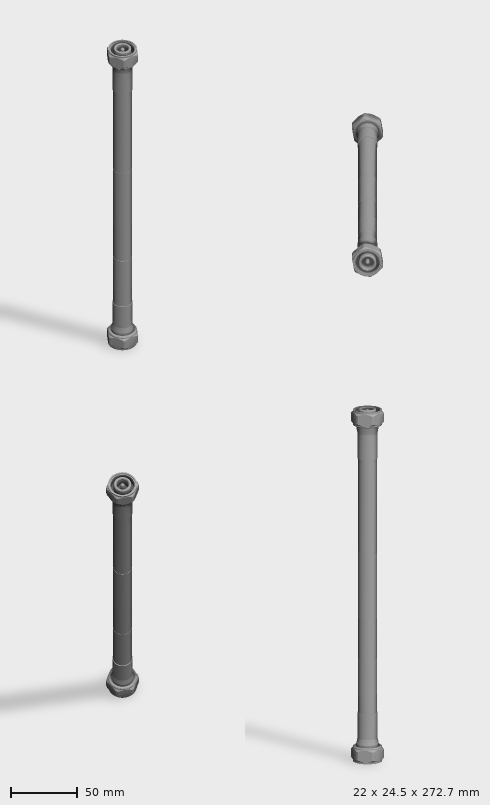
import cadquery as cq
import math

LENGTH = 272.7
HALF_LENGTH = LENGTH / 2
ENDS = ("top", "bottom")

CABLE_DIAMETER = 14.0
CABLE_RADIUS = CABLE_DIAMETER / 2
BAND_THICKNESS = 0.22
CENTRE_BAND_HALF = 25.0
LOWER_BAND_TOP = -56.2
LOWER_BAND_BOTTOM = -84.3

SLEEVE_THICKNESS = 0.5
SLEEVE_RADIUS = CABLE_RADIUS + SLEEVE_THICKNESS
SLEEVE_START = 98.2
FLARE_START = 117.8
FLARE_RADIUS = 8.5
CABLE_END = 122.2

FERRULE_RADIUS = 7.0
FERRULE_START = 107.5
NECK_RADIUS = 8.2

SHARP_CORNERS = 25.4
HEX_FLATS = SHARP_CORNERS * math.cos(math.pi / 6)
BEVELLED_CORNERS = 24.5
HEX_TURN = 30
HEX_FRONT_INSET = 1.4
HEX_BACK_INSET = 1.4
CONTACT_PROTRUSION = 0.5
HEAD_FRONT = HALF_LENGTH - CONTACT_PROTRUSION
HEAD_BACK = 123.8
COLLAR_INSET = 0.14
COLLAR_RADIUS = HEX_FLATS / 2 - COLLAR_INSET
CORNER_CHAMFER = 1.4
BACK_CHAMFER = 0.5
BACK_RECESS_RADIUS = 9.0
BACK_RECESS_DEPTH = 0.8

SOCKET_RADIUS = 9.0
SOCKET_FLOOR = 128.2
MOUTH_RADIUS = 9.8
MOUTH_DEPTH = 0.8
CONTACT_RADIUS = 6.5
CONTACT_BORE_RADIUS = 4.5
CONTACT_CHAMFER = 0.5
PIN_RADIUS = 1.5
PIN_CHAMFER = 0.8


def revolved(profile):
    """Turn an outline of (radius, height) points about the Z axis."""
    return cq.Workplane("XZ").polyline(profile).close().revolve(360, (0, 0, 0), (0, 1, 0))


def cylinder(radius, bottom, top):
    """Solid cylinder about Z between two heights."""
    return cq.Workplane("XY").workplane(offset=bottom).circle(radius).extrude(top - bottom)


def at_end(body, end):
    """Keep a top-end body in place, or mirror it to the bottom end."""
    return body if end == "top" else body.mirror("XY")


def make_sleeve():
    """Flared sleeve that covers the top end of the cable."""
    return revolved([
        (0, SLEEVE_START),
        (SLEEVE_RADIUS, SLEEVE_START),
        (SLEEVE_RADIUS, FLARE_START),
        (FLARE_RADIUS, CABLE_END),
        (0, CABLE_END),
    ])


def make_cable():
    """Jacket with two bands, a sleeve at each end and the holes for the ferrules."""
    cable = cylinder(CABLE_RADIUS, -SLEEVE_START, SLEEVE_START)
    band_radius = CABLE_RADIUS + BAND_THICKNESS
    cable = cable.union(cylinder(band_radius, -CENTRE_BAND_HALF, CENTRE_BAND_HALF))
    cable = cable.union(cylinder(band_radius, LOWER_BAND_BOTTOM, LOWER_BAND_TOP))
    ferrule_hole = cylinder(FERRULE_RADIUS, FERRULE_START, CABLE_END)
    for end in ENDS:
        cable = cable.union(at_end(make_sleeve(), end))
        cable = cable.cut(at_end(ferrule_hole, end))
    return cable


def make_hex_head():
    """Hexagon with bevelled corners between two round collars."""
    corner_radius = BEVELLED_CORNERS / 2
    hex_front = HEAD_FRONT - HEX_FRONT_INSET
    hex_back = HEAD_BACK + HEX_BACK_INSET
    turned = revolved([
        (0, HEAD_BACK),
        (COLLAR_RADIUS - BACK_CHAMFER, HEAD_BACK),
        (COLLAR_RADIUS, HEAD_BACK + BACK_CHAMFER),
        (COLLAR_RADIUS, hex_back),
        (corner_radius, hex_back + CORNER_CHAMFER),
        (corner_radius, hex_front - CORNER_CHAMFER),
        (COLLAR_RADIUS, hex_front),
        (COLLAR_RADIUS, HEAD_FRONT),
        (0, HEAD_FRONT),
    ])
    hexagon = (
        cq.Workplane("XY").workplane(offset=HEAD_BACK)
        .polygon(6, SHARP_CORNERS)
        .extrude(HEAD_FRONT - HEAD_BACK)
        .rotate((0, 0, 0), (0, 0, 1), HEX_TURN)
    )
    return turned.intersect(hexagon)


def make_contact_ring():
    """Ring standing on the socket floor, chamfered inside and outside at its tip."""
    return revolved([
        (CONTACT_BORE_RADIUS, SOCKET_FLOOR),
        (CONTACT_RADIUS, SOCKET_FLOOR),
        (CONTACT_RADIUS, HALF_LENGTH - CONTACT_CHAMFER),
        (CONTACT_RADIUS - CONTACT_CHAMFER, HALF_LENGTH),
        (CONTACT_BORE_RADIUS + CONTACT_CHAMFER, HALF_LENGTH),
        (CONTACT_BORE_RADIUS, HALF_LENGTH - CONTACT_CHAMFER),
    ])


def make_connector():
    """Connector of the top end: ferrule, neck, hexagonal head, contact ring and pin."""
    back_recess = cylinder(BACK_RECESS_RADIUS, HEAD_BACK, HEAD_BACK + BACK_RECESS_DEPTH)
    socket = cylinder(SOCKET_RADIUS, SOCKET_FLOOR, HEAD_FRONT)
    mouth = cylinder(MOUTH_RADIUS, HEAD_FRONT - MOUTH_DEPTH, HEAD_FRONT)
    ferrule = cylinder(FERRULE_RADIUS, FERRULE_START, CABLE_END)
    neck = cylinder(NECK_RADIUS, CABLE_END, SOCKET_FLOOR)
    pin = cylinder(PIN_RADIUS, SOCKET_FLOOR, HEAD_FRONT).faces(">Z").chamfer(PIN_CHAMFER)
    head = make_hex_head().cut(back_recess).cut(socket).cut(mouth)
    return head.union(neck).union(ferrule).union(make_contact_ring()).union(pin)


cable = make_cable()
connectors = [at_end(make_connector(), end) for end in ENDS]

result = cq.Compound.makeCompound([cable.val(), *[connector.val() for connector in connectors]])